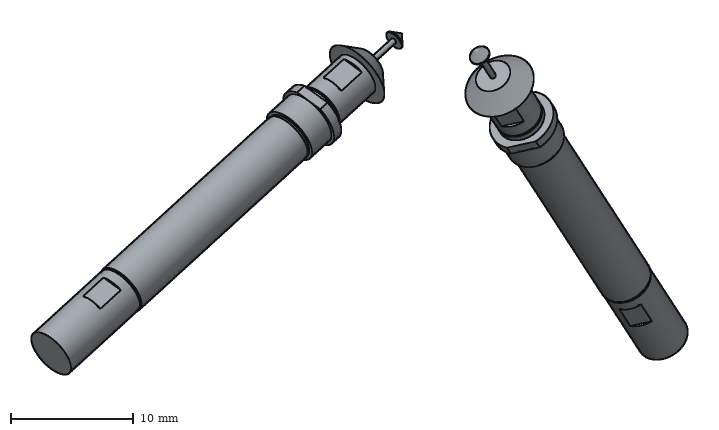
import cadquery as cq

length = 43.0

tip_radius = 0.85
rod_radius = 0.25
cap_top_radius = 1.5
cap_radius = 3.0
neck_radius = 2.0
neck_groove_radius = 1.98
flange_radius = 2.8
collar_radius = 2.5
barrel_radius = 2.25
tail_radius = 2.2
undercut_radius = tail_radius
tail_groove_radius = 2.15

tip_rim_at = 0.85
tip_base_at = 1.0
cap_base_at = 5.5
neck_groove_at = 9.9
flange_at = 10.55
collar_at = 11.45
collar_end_at = 13.8
barrel_at = 14.0
barrel_end_at = 34.4
cap_top_at = cap_base_at - (cap_radius - cap_top_radius)
groove_width = 0.15

flat_length = 2.5
neck_flat_at = 6.0
neck_flat_height = 1.75
tail_flat_at = 35.5
tail_flat_height = 1.98
flange_flat_height = collar_radius


def section(radius, start, end):
    """Cylinder on the Y axis between two distances from the tip."""
    return cq.Workplane("XZ", origin=(0, length - start, 0)).circle(radius).extrude(end - start)


def cone(start_radius, end_radius, start, end):
    """Cone on the Y axis between two distances from the tip."""
    start_centre = cq.Vector(0, length - start, 0)
    toward_tail = cq.Vector(0, -1, 0)
    return cq.Workplane(cq.Solid.makeCone(start_radius, end_radius, end - start, start_centre, toward_tail))


def cut_flats(body, height, start, span):
    """Cut flats at +height and -height into a body, over a stretch of its length."""
    cutter_size = 2 * cap_radius
    cutter = cq.Workplane("XY").box(cutter_size, span, cutter_size)
    middle = length - start - span / 2
    for side in (1, -1):
        offset = side * (height + cutter_size / 2)
        body = body.cut(cutter.translate((0, middle, offset)))
    return body


plunger = cone(0, tip_radius, 0, tip_rim_at)
plunger = plunger.union(section(tip_radius, tip_rim_at, tip_base_at))
plunger = plunger.union(section(rod_radius, tip_base_at, cap_top_at))

cap = cone(cap_top_radius, cap_radius, cap_top_at, cap_base_at)

neck = section(neck_radius, cap_base_at, neck_groove_at)
neck = neck.union(section(neck_groove_radius, neck_groove_at, neck_groove_at + groove_width))
neck = neck.union(section(neck_radius, neck_groove_at + groove_width, flange_at))
neck = cut_flats(neck, neck_flat_height, neck_flat_at, flat_length)

flange = section(flange_radius, flange_at, collar_at)
flange = cut_flats(flange, flange_flat_height, flange_at, collar_at - flange_at)
collar = section(collar_radius, collar_at, collar_end_at)

barrel = section(undercut_radius, collar_end_at, barrel_at)
barrel = barrel.union(section(barrel_radius, barrel_at, barrel_end_at))

tail = section(tail_groove_radius, barrel_end_at, barrel_end_at + groove_width)
tail = tail.union(section(tail_radius, barrel_end_at + groove_width, length))
tail = cut_flats(tail, tail_flat_height, tail_flat_at, flat_length)

result = plunger
for piece in (cap, neck, flange, collar, barrel, tail):
    result = result.union(piece)